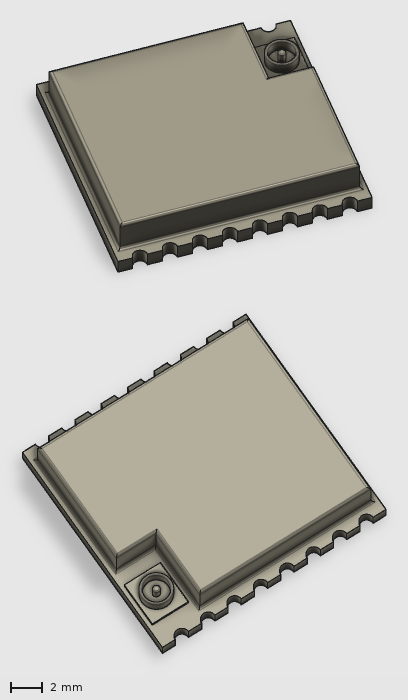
import cadquery as cq

board_x = 16.0
board_y = 17.0
board_height = 1.0
total_height = 3.2

solder_notch_count = 8
solder_notch_pitch = 2.0
solder_notch_radius = 0.5

can_side_gap = 1.0
can_end_gap = 0.5
notch_from_left = 6.0
notch_from_back = 3.5
can_edge_radius = 0.2
foot_overlap = 0.2

connector_from_left = 3.23
connector_from_back = 1.68
base_x = 3.2
base_y = 2.75
base_height = 0.2
connector_height = 1.0
shell_radius = 1.1
shell_wall = 0.2
shell_rim_round = 0.07
pin_radius = 0.25
pin_tip_round = 0.1

left = -board_x / 2
back = board_y / 2


def make_board():
    board = cq.Workplane("XY").rect(board_x, board_y).extrude(board_height)
    notches = (
        cq.Workplane("XY")
        .rarray(board_x, solder_notch_pitch, 2, solder_notch_count)
        .circle(solder_notch_radius)
        .extrude(board_height)
    )
    return board.cut(notches)


def can_outline():
    can_left = left + can_side_gap
    can_back = back - can_end_gap
    notch_x = left + notch_from_left
    notch_y = back - notch_from_back
    return [
        (can_left, -can_back),
        (-can_left, -can_back),
        (-can_left, can_back),
        (notch_x, can_back),
        (notch_x, notch_y),
        (can_left, notch_y),
    ]


def make_can():
    outline = cq.Workplane("XY", origin=(0, 0, board_height)).polyline(can_outline()).close()
    can = outline.extrude(total_height - board_height)
    return can.faces(">Z").edges().fillet(can_edge_radius)


def make_can_foot():
    """Concave fillet around the foot of the can, mitred at the corners."""
    r = can_edge_radius
    start_x, start_y = can_outline()[0]
    path = cq.Workplane("XY", origin=(0, 0, board_height)).polyline(can_outline()).close()
    profile = (
        cq.Workplane("YZ", origin=(start_x, start_y, board_height))
        .moveTo(-r, 0)
        .radiusArc((0, r), -r)
        .lineTo(foot_overlap, r)
        .lineTo(foot_overlap, 0)
        .close()
    )
    return profile.sweep(path, transition="right")


def make_connector():
    centre_x = left + connector_from_left
    centre_y = back - connector_from_back
    base = (
        cq.Workplane("XY", origin=(centre_x, centre_y, board_height))
        .rect(base_x, base_y)
        .extrude(base_height)
    )
    plane = cq.Workplane("XY", origin=(centre_x, centre_y, board_height + base_height))
    height_above_base = connector_height - base_height
    shell = plane.circle(shell_radius).circle(shell_radius - shell_wall).extrude(height_above_base)
    shell = shell.faces(">Z").edges().fillet(shell_rim_round)
    pin = plane.circle(pin_radius).extrude(height_above_base)
    pin = pin.faces(">Z").edges().fillet(pin_tip_round)
    return base.union(shell).union(pin)


result = make_board().union(make_can()).union(make_can_foot()).union(make_connector())